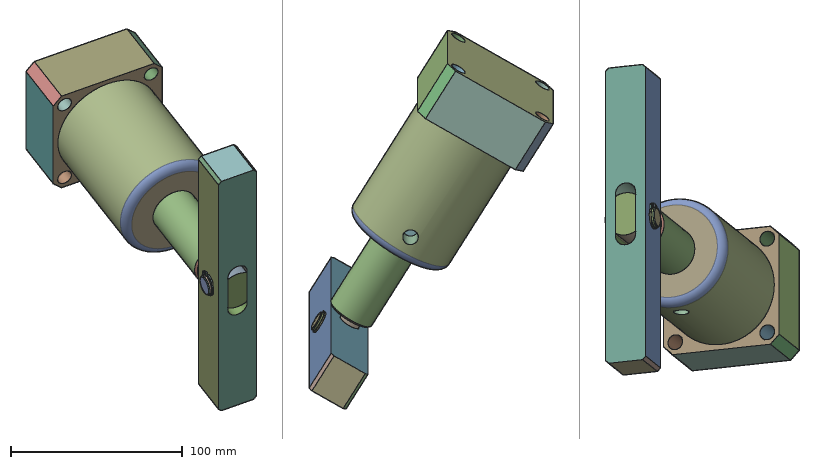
import cadquery as cq

TOTAL_LENGTH = 196.0

FLANGE_SIZE = 72.0
FLANGE_LENGTH = 34.1
FLANGE_CHAMFER = 5.5
BOLT_HOLE_DIAMETER = 9.0
BOLT_HOLE_SPACING = 57.0
BARREL_DIAMETER = 65.9
BARREL_END = 117.0
BARREL_FILLET = 4.9
PORT_DIAMETER = 9.0
PORT_CENTER = 102.0
PORT_DEPTH = 15.7

BAR_WIDTH = 25.0
BAR_HEIGHT = 180.0
BAR_CHAMFER = 2.0
BAR_FRONT = TOTAL_LENGTH - BAR_WIDTH
BAR_CENTER = TOTAL_LENGTH - BAR_WIDTH / 2

ROD_DIAMETER = 28.0
ROD_SHOULDER = 170.1
ROD_CHAMFER = 1.2
TONGUE_THICKNESS = 12.5
TONGUE_DIAMETER = ROD_DIAMETER - 2 * ROD_CHAMFER
SLOT_HEIGHT = 37.6

PIN_DIAMETER = 12.0
PIN_LENGTH = 30.5
PIN_CHAMFER = 0.5

RING_DIAMETER = 13.3
RING_THICKNESS = 1.0
RING_GAP = 1.8
LUG_SPAN = 11.0
LUG_DIAMETER = 16.9
LUG_HOLE_DIAMETER = 1.8
LUG_HOLE_SPACING = 6.3
LUG_HOLE_HEIGHT = 6.3


def rod_axis_plane(x):
    """Plane across the rod axis: local x is +Y, local y is +Z and the normal is +X."""
    return cq.Workplane("YZ", origin=(x, 0, 0))


def pin_axis_plane(y):
    """Plane across the pivot axis: local x is +X, local y is +Z and the normal is -Y."""
    return cq.Workplane("XZ", origin=(BAR_CENTER, y, 0))


def pivot_cylinder(length):
    """Pin-sized cylinder along Y, centred on the rod axis."""
    return pin_axis_plane(0).circle(PIN_DIAMETER / 2).extrude(length / 2, both=True)


def make_housing():
    """Flange with four bolt holes and a barrel with a blind port on its -Z side."""
    flange = (
        rod_axis_plane(0)
        .rect(FLANGE_SIZE, FLANGE_SIZE)
        .extrude(FLANGE_LENGTH)
        .edges("|X")
        .chamfer(FLANGE_CHAMFER)
    )
    bolt_holes = (
        rod_axis_plane(0)
        .rect(BOLT_HOLE_SPACING, BOLT_HOLE_SPACING, forConstruction=True)
        .vertices()
        .circle(BOLT_HOLE_DIAMETER / 2)
        .extrude(FLANGE_LENGTH)
    )
    barrel = (
        rod_axis_plane(FLANGE_LENGTH)
        .circle(BARREL_DIAMETER / 2)
        .extrude(BARREL_END - FLANGE_LENGTH)
        .faces(">X")
        .edges()
        .fillet(BARREL_FILLET)
    )
    barrel_bottom = -BARREL_DIAMETER / 2
    port = (
        cq.Workplane("XY", origin=(PORT_CENTER, 0, barrel_bottom))
        .circle(PORT_DIAMETER / 2)
        .extrude(PORT_DEPTH)
    )
    return flange.cut(bolt_holes).union(barrel).cut(port)


def make_rod():
    """Rod from the barrel's end face, with a tongue that fills the depth of the bar's slot."""
    shaft = (
        rod_axis_plane(BARREL_END)
        .circle(ROD_DIAMETER / 2)
        .extrude(ROD_SHOULDER - BARREL_END)
        .faces(">X")
        .edges()
        .chamfer(ROD_CHAMFER)
    )
    tongue_length = TOTAL_LENGTH - ROD_SHOULDER
    tongue_flats = (
        rod_axis_plane(ROD_SHOULDER)
        .rect(TONGUE_THICKNESS, TONGUE_DIAMETER)
        .extrude(tongue_length)
    )
    tongue = (
        rod_axis_plane(ROD_SHOULDER)
        .circle(TONGUE_DIAMETER / 2)
        .extrude(tongue_length)
        .intersect(tongue_flats)
    )
    return shaft.union(tongue).cut(pivot_cylinder(BAR_WIDTH))


def make_bar():
    """Lever bar with a round-ended slot for the tongue and a cross hole for the pin."""
    blank = (
        rod_axis_plane(BAR_FRONT)
        .rect(BAR_WIDTH, BAR_HEIGHT)
        .extrude(BAR_WIDTH)
        .edges("|X")
        .chamfer(BAR_CHAMFER)
    )
    slot = rod_axis_plane(BAR_FRONT).slot2D(SLOT_HEIGHT, TONGUE_THICKNESS, 90).extrude(BAR_WIDTH)
    return blank.cut(slot).cut(pivot_cylinder(BAR_WIDTH))


def make_pin():
    return pivot_cylinder(PIN_LENGTH).faces("<Y or >Y").edges().chamfer(PIN_CHAMFER)


def make_ring(y):
    """Open retaining ring whose +Y face lies at y, with its two drilled lugs on the +Z side."""
    lug_radius = LUG_DIAMETER / 2
    disc = pin_axis_plane(y).circle(RING_DIAMETER / 2).extrude(RING_THICKNESS)
    lug_band = pin_axis_plane(y).center(0, lug_radius / 2).rect(LUG_SPAN, lug_radius).extrude(RING_THICKNESS)
    lugs = pin_axis_plane(y).circle(lug_radius).extrude(RING_THICKNESS).intersect(lug_band)
    gap = pin_axis_plane(y).center(0, lug_radius / 2).rect(RING_GAP, lug_radius).extrude(RING_THICKNESS)
    lug_holes = (
        pin_axis_plane(y)
        .pushPoints([(side * LUG_HOLE_SPACING / 2, LUG_HOLE_HEIGHT) for side in (-1, 1)])
        .circle(LUG_HOLE_DIAMETER / 2)
        .extrude(RING_THICKNESS)
    )
    bore = pin_axis_plane(y).circle(PIN_DIAMETER / 2).extrude(RING_THICKNESS)
    return disc.union(lugs).cut(bore).cut(gap).cut(lug_holes)


housing = make_housing()
rod = make_rod()
bar = make_bar()
pin = make_pin()

rings = [make_ring(y) for y in (-BAR_WIDTH / 2, BAR_WIDTH / 2 + RING_THICKNESS)]

result = cq.Compound.makeCompound(
    [housing.val(), rod.val(), bar.val(), pin.val(), *[ring.val() for ring in rings]]
)